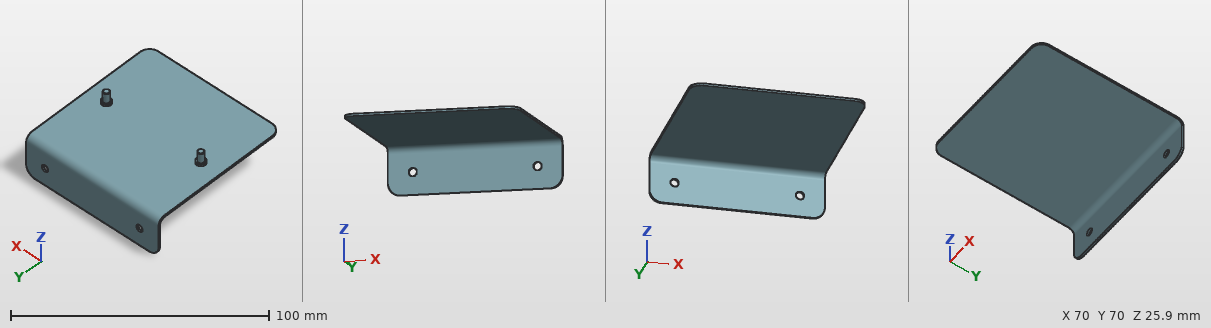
import cadquery as cq
import math

width = 70.0
depth = 70.0
flange_height = 19.95
thickness = 1.0
bend_radius = 3.6
corner_radius = 5.0

feature_spacing = 50.0
hole_diameter = 3.3
hole_drop = 11.0

stud_height = 6.0
shank_diameter = 3.0
collar_diameter = 4.5
collar_height = 1.0
tip_chamfer = 0.3

feature_positions = [-feature_spacing / 2, feature_spacing / 2]


def make_bracket():
    """Bent sheet centred in X and Y, with its upper face at Z = 0."""
    front = -depth / 2
    back = depth / 2
    inner_radius = bend_radius - thickness
    bend_y = back - bend_radius
    diagonal = math.sqrt(0.5)

    profile = (
        cq.Workplane("YZ")
        .moveTo(front, 0)
        .lineTo(bend_y, 0)
        .threePointArc(
            (bend_y + bend_radius * diagonal, -bend_radius + bend_radius * diagonal),
            (back, -bend_radius),
        )
        .lineTo(back, -flange_height)
        .lineTo(back - thickness, -flange_height)
        .lineTo(back - thickness, -bend_radius)
        .threePointArc(
            (bend_y + inner_radius * diagonal, -bend_radius + inner_radius * diagonal),
            (bend_y, -thickness),
        )
        .lineTo(front, -thickness)
        .close()
    )
    sheet = profile.extrude(width / 2, both=True)

    sheet = sheet.faces("<Y").edges("|Z").fillet(corner_radius)
    sheet = sheet.faces("<Z").edges("|Y").fillet(corner_radius)

    holes = (
        cq.Workplane("XZ", origin=(0, back, 0))
        .pushPoints([(x, -hole_drop) for x in feature_positions])
        .circle(hole_diameter / 2)
        .extrude(thickness)
    )
    return sheet.cut(holes)


def make_stud(x):
    """Stud standing on the upper face of the plate, midway along its depth."""
    collar = cq.Workplane("XY").circle(collar_diameter / 2).extrude(collar_height)
    shank = (
        cq.Workplane("XY")
        .circle(shank_diameter / 2)
        .extrude(stud_height)
        .faces(">Z")
        .chamfer(tip_chamfer)
    )
    return collar.union(shank).translate((x, 0, 0))


bracket = make_bracket()
studs = [make_stud(x) for x in feature_positions]

result = cq.Compound.makeCompound([bracket.val(), *[stud.val() for stud in studs]])